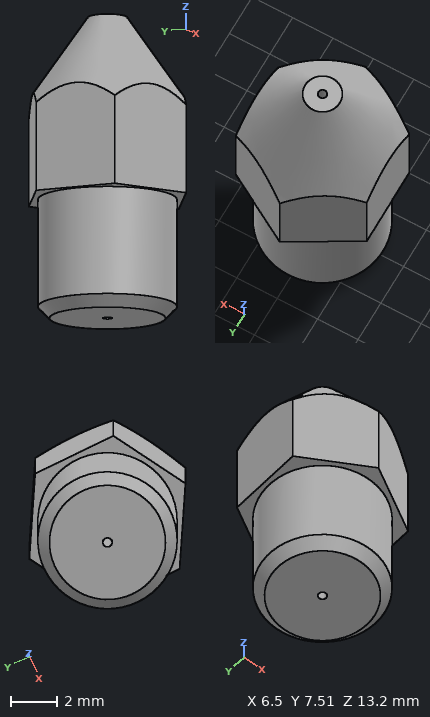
import cadquery as cq
import math

total_height = 13.2
shank_height = 5.2
shank_diameter = 6.0
shank_chamfer = 0.5
across_flats = 6.5
tip_diameter = 1.72
bore_diameter = 0.4
cone_half_angle = 35

across_corners = across_flats / math.cos(math.radians(30))
corner_radius = across_corners / 2
tip_radius = tip_diameter / 2
cone_base_height = total_height - (corner_radius - tip_radius) / math.tan(math.radians(cone_half_angle))


def make_shank():
    """Round shank with a chamfered lower edge."""
    shank = cq.Workplane("XY").circle(shank_diameter / 2).extrude(shank_height)
    return shank.faces("<Z").chamfer(shank_chamfer)


def make_head():
    """Hexagonal head, corners along Y, trimmed to a conical tip."""
    hexagon = (
        cq.Workplane("XY", origin=(0, 0, shank_height))
        .polygon(6, across_corners)
        .extrude(total_height - shank_height)
        .rotate((0, 0, 0), (0, 0, 1), 90)
    )
    cone_envelope = (
        cq.Workplane("XZ")
        .moveTo(0, shank_height)
        .lineTo(corner_radius, shank_height)
        .lineTo(corner_radius, cone_base_height)
        .lineTo(tip_radius, total_height)
        .lineTo(0, total_height)
        .close()
        .revolve(360, (0, 0, 0), (0, 1, 0))
    )
    return hexagon.intersect(cone_envelope)


bore = cq.Workplane("XY").circle(bore_diameter / 2).extrude(total_height)

result = make_shank().union(make_head()).cut(bore)